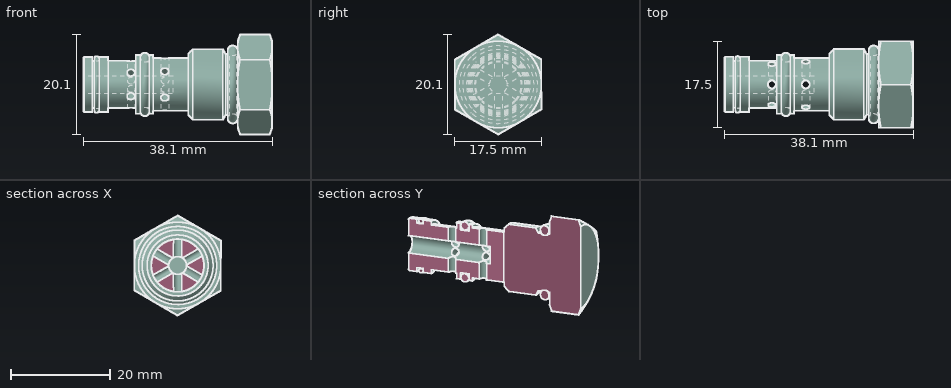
import cadquery as cq
import math

overall_length = 38.1

nose_diameter = 11.15
nose_chamfer = 0.25
nose_length = 5.05
neck_diameter = 9.55
collar_start = 10.6
collar_end = 14.15
collar_diameter = 11.9
barrel_diameter = 10.65
sleeve_length = 21.15

bore_diameter = 3.6
port_diameter = 1.55
ports_per_row = 6
neck_port_x = 9.65
barrel_port_x = 16.45
bore_depth = barrel_port_x + port_diameter

thread_diameter = 14.3
relief_diameter = 12.3
thread_end = 28.15
thread_end_angle = 60.0
hex_start = 31.13
hex_across_corners = 20.15
hex_chamfer_length = 0.5
hex_tilt = 0.2

nose_ring_section = 1.0
nose_ring_diameter = 11.45
nose_groove_start = 1.85
nose_groove_end = 3.25
nose_groove_diameter = nose_ring_diameter - 2 * nose_ring_section

collar_ring_section = 1.83
collar_ring_diameter = 12.8
collar_groove_end = 13.37
collar_groove_start = collar_groove_end - collar_ring_section
collar_groove_diameter = collar_ring_diameter - 2 * collar_ring_section

flange_ring_section = 2.02
flange_ring_diameter = 15.75


def revolve_profile(points):
    """Revolve a half outline of (x, radius) points about the X axis."""
    outline = cq.Workplane("XY").polyline(points).close()
    return outline.revolve(360, (0, 0, 0), (1, 0, 0))


def rod(diameter, start, end):
    """Solid cylinder on the X axis between two stations."""
    return cq.Workplane("YZ", origin=(start, 0, 0)).circle(diameter / 2).extrude(end - start)


def groove_cutter(floor_diameter, start, end):
    """Tube, as wide as the collar, that cuts a square groove to its floor diameter."""
    return rod(collar_diameter, start, end).cut(rod(floor_diameter, start, end))


def make_port_row(x):
    """Radial drills evenly spaced around the axis, the first one along +Z."""
    drill = cq.Workplane("XY", origin=(x, 0, 0)).circle(port_diameter / 2).extrude(collar_diameter / 2)
    row = drill
    pitch_angle = 360 / ports_per_row
    for index in range(1, ports_per_row):
        row = row.union(drill.rotate((0, 0, 0), (1, 0, 0), index * pitch_angle))
    return row


def make_o_ring(section, outer_diameter, end):
    """O-ring whose far side lies at the given station."""
    centre_radius = (outer_diameter - section) / 2
    profile = cq.Workplane("XY").center(end - section / 2, centre_radius).circle(section / 2)
    return profile.revolve(360, (0, -centre_radius, 0), (1, -centre_radius, 0))


def make_sleeve():
    """Stepped sleeve with two seal grooves, an axial bore and radial ports."""
    nose = rod(nose_diameter, 0, nose_length).faces("<X").chamfer(nose_chamfer)
    neck = rod(neck_diameter, nose_length, collar_start)
    collar = rod(collar_diameter, collar_start, collar_end)
    barrel = rod(barrel_diameter, collar_end, sleeve_length)
    body = nose.union(neck).union(collar).union(barrel)
    body = body.cut(groove_cutter(nose_groove_diameter, nose_groove_start, nose_groove_end))
    body = body.cut(groove_cutter(collar_groove_diameter, collar_groove_start, collar_groove_end))
    body = body.cut(rod(bore_diameter, 0, bore_depth))
    for port_x in (neck_port_x, barrel_port_x):
        body = body.cut(make_port_row(port_x))
    return body


def make_hex_head():
    """Hexagon with corners nearly along Z, both ends chamfered down to the flats."""
    corner_radius = hex_across_corners / 2
    flat_radius = corner_radius * math.cos(math.pi / 6)
    length = overall_length - hex_start
    hexagon = (
        cq.Workplane("YZ", origin=(hex_start, 0, 0))
        .polygon(6, hex_across_corners)
        .extrude(length)
        .rotate((0, 0, 0), (1, 0, 0), 90 + hex_tilt)
    )
    envelope = revolve_profile([
        (hex_start, 0),
        (hex_start, flat_radius),
        (hex_start + hex_chamfer_length, corner_radius),
        (overall_length - hex_chamfer_length, corner_radius),
        (overall_length, flat_radius),
        (overall_length, 0),
    ])
    return hexagon.intersect(envelope)


def make_plug(flange_ring):
    """Threaded shank, relief neck and hex head, with a seat for the flange O-ring."""
    thread_radius = thread_diameter / 2
    relief_radius = relief_diameter / 2
    step = thread_radius - relief_radius
    thread_end_length = step / math.tan(math.radians(thread_end_angle))
    shank = revolve_profile([
        (sleeve_length, 0),
        (sleeve_length, relief_radius),
        (sleeve_length + step, thread_radius),
        (thread_end, thread_radius),
        (thread_end + thread_end_length, relief_radius),
        (hex_start, relief_radius),
        (hex_start, 0),
    ])
    return shank.union(make_hex_head()).cut(flange_ring)


nose_ring = make_o_ring(nose_ring_section, nose_ring_diameter, nose_groove_end)
collar_ring = make_o_ring(collar_ring_section, collar_ring_diameter, collar_groove_end)
flange_ring = make_o_ring(flange_ring_section, flange_ring_diameter, hex_start)
sleeve = make_sleeve()
plug = make_plug(flange_ring)

result = cq.Compound.makeCompound([
    sleeve.val(),
    plug.val(),
    nose_ring.val(),
    collar_ring.val(),
    flange_ring.val(),
])